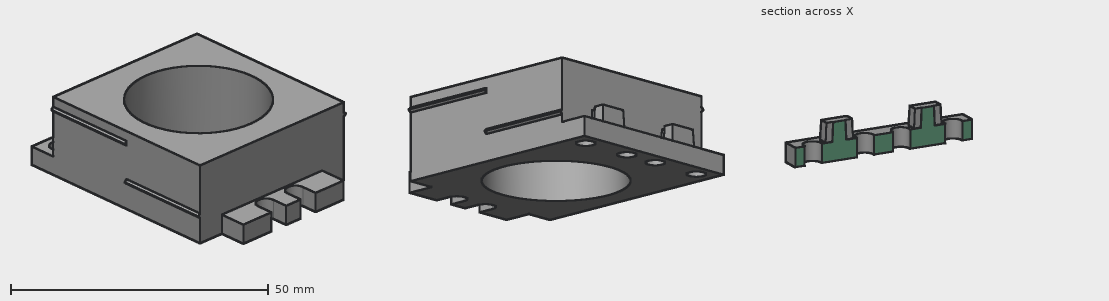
import cadquery as cq

total_length = 53.0
total_width = 40.0
height = 17.0
ridge_height = 0.505
flange_length = 6.0
body_length = total_length - 2 * flange_length
body_width = total_width - 2 * ridge_height
bore_diameter = 29.0

flange_height = 4.05
hole_diameter = 3.8
hole_edge_distance = 3.5
inner_hole_y = 4.0
outer_hole_y = 15.5

slotted_flange_height = 4.2
slotted_flange_width = 27.2
slot_width = 4.05
slot_wall = 0.4

key_y = 9.75
key_height = 4.05
key_edge_distance = 1.5
key_bar_back = 3.85
key_bar_width = 6.05
key_stem_width = 3.15
key_draft = 0.185
key_overlap = 0.55

upper_ridge_z = height - 2.65
lower_ridge_z = 6.05

left_end = -total_length / 2
right_end = total_length / 2
body_right = body_length / 2


def plate(length, width, thickness, center_x):
    """Rectangular slab resting on the base plane."""
    return cq.Workplane("XY").center(center_x, 0).rect(length, width).extrude(thickness)


def key_outline(inset):
    """Points of the T, symmetric about its stem, with the drafted faces moved in by inset."""
    front = left_end + key_edge_distance + inset
    back = left_end + key_bar_back
    stem_end = left_end + flange_length + key_overlap
    half_bar = key_bar_width / 2 - inset
    half_stem = key_stem_width / 2 - inset
    half = [(front, half_bar), (back, half_bar), (back, half_stem), (stem_end, half_stem)]
    return half + [(x, -y) for x, y in reversed(half)]


def key(center_y):
    """T-shaped key whose front and side faces lean inward; the back of the bar is upright."""
    return (
        cq.Workplane("XY", origin=(0, center_y, flange_height))
        .polyline(key_outline(0)).close()
        .workplane(offset=key_height)
        .polyline(key_outline(key_draft)).close()
        .loft(ruled=True)
    )


def front_ridge(start_x, center_z):
    """Half-length ridge with 45 degree flanks on the -Y side."""
    face_y = -body_width / 2
    profile = [
        (face_y, center_z - ridge_height),
        (face_y - ridge_height, center_z),
        (face_y, center_z + ridge_height),
    ]
    return (
        cq.Workplane("YZ", origin=(start_x, 0, 0))
        .polyline(profile).close()
        .extrude(body_length / 2)
    )


result = plate(body_length, body_width, height, 0)
flange_center = (total_length - flange_length) / 2
result = result.union(plate(flange_length, body_width, flange_height, -flange_center))
result = result.union(
    plate(flange_length, slotted_flange_width, slotted_flange_height, flange_center)
)

result = result.cut(cq.Workplane("XY").circle(bore_diameter / 2).extrude(height))

hole_x = left_end + hole_edge_distance
hole_points = [(hole_x, side * y) for side in (-1, 1) for y in (inner_hole_y, outer_hole_y)]
result = result.cut(
    cq.Workplane("XY").pushPoints(hole_points).circle(hole_diameter / 2).extrude(flange_height)
)

slot_center_x = body_right + slot_wall + slot_width / 2
slot_run = right_end - slot_center_x
for slot_y in (-inner_hole_y, inner_hole_y):
    slot = (
        cq.Workplane("XY", origin=(slot_center_x, slot_y, 0))
        .moveTo(0, slot_width / 2)
        .threePointArc((-slot_width / 2, 0), (0, -slot_width / 2))
        .lineTo(slot_run, -slot_width / 2)
        .lineTo(slot_run, slot_width / 2)
        .close()
        .extrude(slotted_flange_height)
    )
    result = result.cut(slot)

for center_y in (-key_y, key_y):
    result = result.union(key(center_y))

for start_x, center_z in ((-body_right, upper_ridge_z), (0, lower_ridge_z)):
    ridge = front_ridge(start_x, center_z)
    result = result.union(ridge)
    result = result.union(ridge.rotate((0, 0, 0), (0, 0, 1), 180))